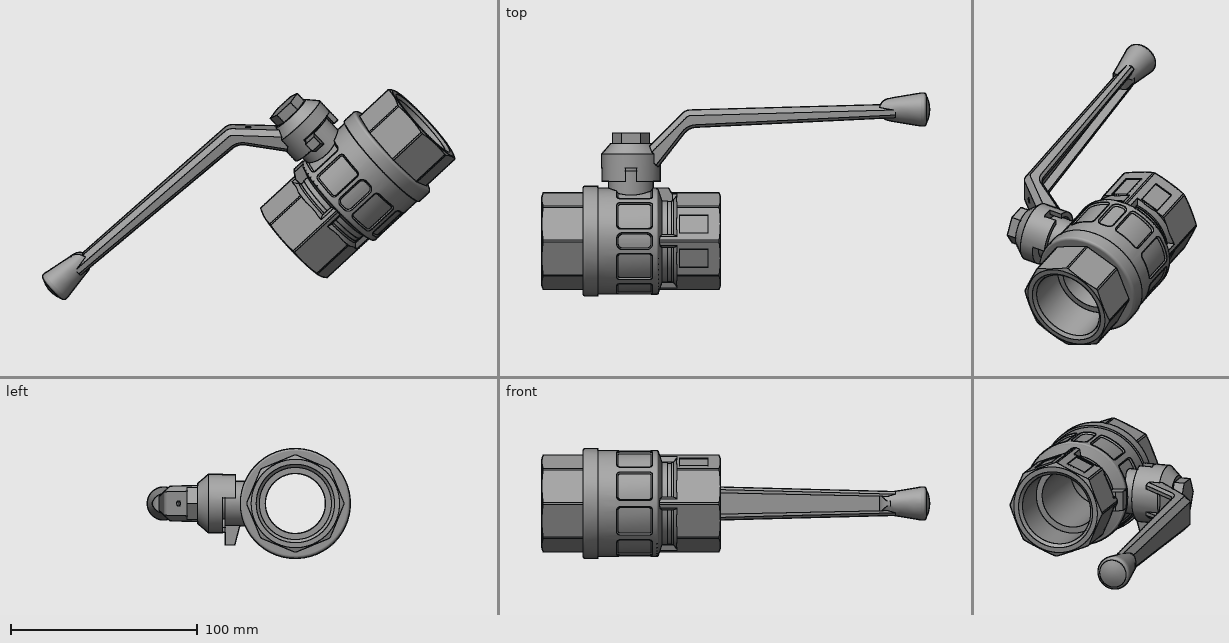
import cadquery as cq
import math


BODY_LENGTH = 95.9
BORE_RADIUS = 16.0
SOCKET_RADIUS = 19.3
SOCKET_DEPTH = 24.3
SOCKET_CHAMFER = 1.7
BODY_SIDES = 8
END_RADIUS = 26.0
OCTAGON_RADIUS = 26.2
END_FACE_RADIUS = 23.7
END_CHAMFER_LENGTH = 0.8
COLLAR_START = 22.0
COLLAR_END = 30.2
COLLAR_RADIUS = 29.5
COLLAR_ROUND = 1.5
BARREL_RADIUS = 28.5
BARREL_END = 62.6
BARREL_ROUND = 1.0
WAIST_RADIUS = 22.3
WAIST_END = 72.5
WAIST_RIB_WIDTH = 4.4
WAIST_RIB_ROOT_WIDTH = 6.9
WAIST_FLOOR_START = 64.5
WAIST_STEP = 67.4
WAIST_STEP_HEIGHT = 0.5
WAIST_RING_START = 69.5
WAIST_RING_END = 70.5
WAIST_END_RADIUS = 24.8

POCKET_START = 40.1
POCKET_END = 59.5
POCKET_DEPTH = 1.0
POCKET_DRAFT = 0.8
POCKET_CORNER = 2.0
WIDE_POCKET_WIDTH = 16.2
WIDE_POCKET_ANGLES = (30, 70, 110, 150)
NARROW_POCKET_WIDTH = 9.2
NARROW_POCKET_CORNER = 3.3
NARROW_POCKET_ANGLES = (0, 180)

PANEL_START = 73.8
PANEL_LENGTH = 15.4
PANEL_WIDTH = 10.5
PANEL_DEPTH = 0.6

STEM_X = 47.8
NECK_RADIUS = 12.0
NECK_TOP = 37.6
NECK_BASE = 22.9
SPINDLE_RADIUS = 8.3
TAB_WIDTH = 6.0
TAB_REACH = 22.3
TAB_ROOT_BOTTOM = 29.7
TAB_TIP_BOTTOM = 32.5
BOSS_TOP = 28.5
BOSS_FLAT_END = 68.0
BOSS_FOOT_END = 70.0
BOSS_FOOT = 25.0
BOSS_BASE = 21.0
BOSS_WIDTH = 10.5

HUB_RADIUS = 15.8
HUB_BOTTOM = 32.0
HUB_SHOULDER = 46.5
HUB_TOP = 52.5
HUB_TOP_RADIUS = 10.8
SKIRT_INNER_RADIUS = 13.0
SKIRT_CEILING = 39.0
NUT_TOP = 58.0
NUT_ACROSS_CORNERS = 20.0

ROOT_BACK = (54.0, 47.2)
ROOT_FRONT = (62.5, 39.7)
BEND_BACK = (77.2, 70.3)
BEND_FRONT = (78.8, 60.7)
TIP_BACK = (189.7, 73.5)
TIP_FRONT = (189.7, 66.1)
LEVER_ROOT_WIDTH = 20.0
LEVER_TIP_WIDTH = 13.0
BACK_BEVEL = 3.1
FRONT_BEVEL = 1.5
BEND_BACK_ROUND = 6.2
BEND_FRONT_ROUND = 8.3
CHANNEL_ROOT_WIDTH = 13.0
CHANNEL_TIP_WIDTH = 7.5
CHANNEL_DEPTH = 5.0
EYE_RADIUS = 1.5
EYE_Y = 62.6
EYE_DEPTH = 1.7

KNOB_AXIS_Y = 70.5
KNOB_NOSE_RADIUS = 6.0
KNOB_NOSE_X = 187.0
KNOB_NECK_RADIUS = 5.2
KNOB_RIM = 203.5
KNOB_RADIUS = 9.0
KNOB_DOME_START = 206.1
KNOB_RIM_ROUND = 1.5
KNOB_END = 208.0


def cylinder_x(start, end, radius):
    return cq.Workplane("YZ", origin=(start, 0, 0)).circle(radius).extrude(end - start)


def block(x_range, y_range, z_range):
    """Axis-aligned box given by its limits."""
    sizes = [high - low for low, high in (x_range, y_range, z_range)]
    corner = (x_range[0], y_range[0], z_range[0])
    return cq.Workplane("XY", origin=corner).box(*sizes, centered=False)


def nearest_to(x, y, z):
    return cq.selectors.NearestToPointSelector((x, y, z))


def make_octagon_bar():
    """Full-length octagon with blunted corners and coned ends."""
    bar = cq.Workplane("YZ").polygon(BODY_SIDES, 2 * OCTAGON_RADIUS).extrude(BODY_LENGTH)
    envelope = (
        cq.Workplane("XY")
        .moveTo(0, 0)
        .lineTo(0, END_FACE_RADIUS)
        .lineTo(END_CHAMFER_LENGTH, END_RADIUS)
        .lineTo(BODY_LENGTH - END_CHAMFER_LENGTH, END_RADIUS)
        .lineTo(BODY_LENGTH, END_FACE_RADIUS)
        .lineTo(BODY_LENGTH, 0)
        .close()
        .revolve(360, (0, 0), (1, 0))
    )
    return bar.intersect(envelope)


def make_waist_rib():
    """Drafted rib along X at the +Z octagon corner, widest at the waist floor."""
    half_root, half_top = WAIST_RIB_ROOT_WIDTH / 2, WAIST_RIB_WIDTH / 2
    outline = [
        (-half_root, 0),
        (-half_root, WAIST_RADIUS),
        (-half_top, END_RADIUS),
        (half_top, END_RADIUS),
        (half_root, WAIST_RADIUS),
        (half_root, 0),
    ]
    rib = cq.Workplane("YZ", origin=(BARREL_END, 0, 0)).polyline(outline).close()
    return rib.extrude(WAIST_END - BARREL_END)


def cut_waist(bar):
    """Turn the octagon down behind the barrel to a stepped groove bridged by four ribs."""
    low_floor = WAIST_RADIUS - WAIST_STEP_HEIGHT
    waste = (
        cq.Workplane("XY")
        .moveTo(BARREL_END, COLLAR_RADIUS)
        .lineTo(BARREL_END, WAIST_RADIUS)
        .lineTo(WAIST_STEP, WAIST_RADIUS)
        .lineTo(WAIST_STEP, low_floor)
        .lineTo(WAIST_RING_START, low_floor)
        .lineTo(WAIST_RING_START, WAIST_RADIUS)
        .lineTo(WAIST_RING_END, WAIST_RADIUS)
        .lineTo(WAIST_END, WAIST_END_RADIUS)
        .lineTo(WAIST_END, COLLAR_RADIUS)
        .close()
        .revolve(360, (0, 0), (1, 0))
    )
    for angle in (0, 90, 180, 270):
        waste = waste.cut(make_waist_rib().rotate((0, 0, 0), (1, 0, 0), angle))
    return bar.cut(waste)


def make_barrel():
    """Collared barrel whose +X end slopes down into the waist."""
    collar = cylinder_x(COLLAR_START, COLLAR_END, COLLAR_RADIUS)
    collar = collar.faces("<X").edges().fillet(COLLAR_ROUND)
    barrel = (
        cq.Workplane("XY")
        .moveTo(COLLAR_END, 0)
        .lineTo(COLLAR_END, BARREL_RADIUS)
        .lineTo(BARREL_END - BARREL_ROUND, BARREL_RADIUS)
        .tangentArcPoint((BARREL_ROUND, -BARREL_ROUND))
        .lineTo(WAIST_FLOOR_START, WAIST_RADIUS)
        .lineTo(WAIST_FLOOR_START, 0)
        .close()
        .revolve(360, (0, 0), (1, 0))
    )
    return collar.union(barrel)


def make_pocket(width, corner, angle):
    """Shallow round-cornered pocket in the barrel surface, turned about the bore axis."""
    floor = BARREL_RADIUS - POCKET_DEPTH
    length = POCKET_END - POCKET_START
    prism = (
        cq.Workplane("XY", origin=(POCKET_START + length / 2, 0, 0))
        .rect(length, width)
        .extrude(COLLAR_RADIUS)
        .edges("|Z")
        .fillet(corner)
    )
    prism = prism.cut(cylinder_x(POCKET_START, POCKET_END, floor))
    floor_center = (POCKET_START + length / 2, 0, floor)
    prism = prism.faces(nearest_to(*floor_center)).edges().chamfer(POCKET_DRAFT)
    return prism.rotate((0, 0, 0), (1, 0, 0), angle)


def cut_pockets(body):
    for angle in NARROW_POCKET_ANGLES:
        body = body.cut(make_pocket(NARROW_POCKET_WIDTH, NARROW_POCKET_CORNER, angle))
    for angle in WIDE_POCKET_ANGLES:
        for side in (-1, 1):
            body = body.cut(make_pocket(WIDE_POCKET_WIDTH, POCKET_CORNER, side * angle))
    return body


def cut_panels(body):
    half_flat_angle = 180 / BODY_SIDES
    apothem = OCTAGON_RADIUS * math.cos(math.radians(half_flat_angle))
    panel = block(
        (PANEL_START, PANEL_START + PANEL_LENGTH),
        (-PANEL_WIDTH / 2, PANEL_WIDTH / 2),
        (apothem - PANEL_DEPTH, COLLAR_RADIUS),
    )
    for side in (-1, 1):
        body = body.cut(panel.rotate((0, 0, 0), (1, 0, 0), side * half_flat_angle))
    return body


def make_neck():
    """Stem neck with the spindle that carries the lever."""
    return (
        cq.Workplane("XY", origin=(STEM_X, 0, 0))
        .moveTo(0, NECK_BASE)
        .lineTo(NECK_RADIUS, NECK_BASE)
        .lineTo(NECK_RADIUS, NECK_TOP)
        .lineTo(SPINDLE_RADIUS, NECK_TOP)
        .lineTo(SPINDLE_RADIUS, HUB_SHOULDER)
        .lineTo(0, HUB_SHOULDER)
        .close()
        .revolve(360, (0, 0), (0, 1))
    )


def make_stop_tab():
    """Tapered tab on the -Z side of the neck that limits the lever travel."""
    return (
        cq.Workplane("YZ", origin=(STEM_X - TAB_WIDTH / 2, 0, 0))
        .moveTo(NECK_TOP, 0)
        .lineTo(NECK_TOP, -TAB_REACH)
        .lineTo(TAB_TIP_BOTTOM, -TAB_REACH)
        .lineTo(TAB_ROOT_BOTTOM, -NECK_RADIUS)
        .lineTo(TAB_ROOT_BOTTOM, 0)
        .close()
        .extrude(TAB_WIDTH)
    )


def make_boss():
    """Sloped boss behind the barrel on the +Y side."""
    return (
        cq.Workplane("XY", origin=(0, 0, -BOSS_WIDTH / 2))
        .moveTo(BARREL_END - BARREL_ROUND, BOSS_BASE)
        .lineTo(BARREL_END - BARREL_ROUND, BOSS_TOP)
        .lineTo(BOSS_FLAT_END, BOSS_TOP)
        .lineTo(BOSS_FOOT_END, BOSS_FOOT)
        .lineTo(BOSS_FOOT_END, BOSS_BASE)
        .close()
        .extrude(BOSS_WIDTH)
    )


def make_bore():
    """Through bore with a chamfered socket at each end."""
    bore = cylinder_x(0, BODY_LENGTH, BORE_RADIUS)
    socket = (
        cq.Workplane("XY")
        .moveTo(0, 0)
        .lineTo(0, SOCKET_RADIUS + SOCKET_CHAMFER)
        .lineTo(SOCKET_CHAMFER, SOCKET_RADIUS)
        .lineTo(SOCKET_DEPTH, SOCKET_RADIUS)
        .lineTo(SOCKET_DEPTH, 0)
        .close()
        .revolve(360, (0, 0), (1, 0))
    )
    far_socket = socket.mirror("YZ").translate((BODY_LENGTH, 0, 0))
    return bore.union(socket).union(far_socket)


def make_hub():
    """Lever hub with a hollow skirt over the neck, notched for the stop tab."""
    hub = (
        cq.Workplane("XY", origin=(STEM_X, 0, 0))
        .moveTo(0, SKIRT_CEILING)
        .lineTo(SKIRT_INNER_RADIUS, SKIRT_CEILING)
        .lineTo(SKIRT_INNER_RADIUS, HUB_BOTTOM)
        .lineTo(HUB_RADIUS, HUB_BOTTOM)
        .lineTo(HUB_RADIUS, HUB_SHOULDER)
        .lineTo(HUB_TOP_RADIUS, HUB_TOP)
        .lineTo(0, HUB_TOP)
        .close()
        .revolve(360, (0, 0), (0, 1))
    )
    half = TAB_WIDTH / 2
    skirt = (HUB_BOTTOM, SKIRT_CEILING)
    notch = block((STEM_X - half, STEM_X + half), skirt, (0, HUB_RADIUS))
    travel = block((STEM_X - HUB_RADIUS, STEM_X + half), skirt, (-HUB_RADIUS, half))
    return hub.cut(notch).cut(travel)


def make_nut():
    nut_plane = cq.Workplane("XZ", origin=(STEM_X, HUB_TOP, 0))
    return nut_plane.polygon(6, NUT_ACROSS_CORNERS).extrude(HUB_TOP - NUT_TOP)


def along(start, end, distance):
    """Point at a distance from start towards end; negative distances lie beyond start."""
    share = distance / math.dist(start, end)
    return tuple(a + (b - a) * share for a, b in zip(start, end))


def bent_plate(back, front, thickness):
    """Plate along Z from the XY points of its two bent sides, each listed root, bend, tip."""
    outline = list(back) + list(reversed(front))
    plate = cq.Workplane("XY", origin=(0, 0, -thickness / 2)).polyline(outline).close()
    return plate.extrude(thickness)


def taper(root_width, tip_width):
    """Wedge, symmetric about the XY plane, that narrows from lever root to tip."""
    root_x, tip_x = ROOT_BACK[0], TIP_BACK[0]
    outline = [
        (root_x, root_width / 2),
        (tip_x, tip_width / 2),
        (tip_x, -tip_width / 2),
        (root_x, -root_width / 2),
    ]
    return cq.Workplane("XZ").polyline(outline).close().extrude(-2 * KNOB_AXIS_Y)


def make_lever():
    """Bent, tapered lever with bevelled edges and a channel along its -Y side."""
    back = (ROOT_BACK, BEND_BACK, TIP_BACK)
    front = (ROOT_FRONT, BEND_FRONT, TIP_FRONT)
    lever = bent_plate(back, front, LEVER_ROOT_WIDTH)
    lever = lever.edges(nearest_to(*BEND_BACK, 0)).fillet(BEND_BACK_ROUND)
    lever = lever.edges(nearest_to(*BEND_FRONT, 0)).fillet(BEND_FRONT_ROUND)
    lever = lever.intersect(taper(LEVER_ROOT_WIDTH, LEVER_TIP_WIDTH))
    for (start, bend), bevel in ((back[:2], BACK_BEVEL), (front[:2], FRONT_BEVEL)):
        middle = along(start, bend, math.dist(start, bend) / 2)
        for side in (-1, 1):
            lever = lever.edges(nearest_to(*middle, side * LEVER_ROOT_WIDTH / 2)).chamfer(bevel)

    floor = [along(near, far, CHANNEL_DEPTH) for near, far in zip(front, back)]
    mouth = [along(near, far, -CHANNEL_DEPTH) for near, far in zip(front, back)]
    channel = bent_plate(floor, mouth, CHANNEL_ROOT_WIDTH)
    channel = channel.edges(nearest_to(*floor[1], 0)).fillet(BEND_FRONT_ROUND + CHANNEL_DEPTH)
    channel = channel.intersect(taper(CHANNEL_ROOT_WIDTH, CHANNEL_TIP_WIDTH))
    return lever.cut(channel)


def make_eye():
    """Small blind hole in the back of the sloped part of the lever."""
    run = BEND_BACK[0] - ROOT_BACK[0]
    rise = BEND_BACK[1] - ROOT_BACK[1]
    eye_x = ROOT_BACK[0] + (EYE_Y - ROOT_BACK[1]) * run / rise
    back_plane = cq.Plane(origin=(eye_x, EYE_Y, 0), xDir=(0, 0, 1), normal=(rise, -run, 0))
    return cq.Workplane(back_plane).circle(EYE_RADIUS).extrude(EYE_DEPTH)


def make_knob():
    """Flared knob with a nose rounded about Z and a domed end."""
    start = KNOB_NOSE_X - KNOB_NOSE_RADIUS
    dome_height = KNOB_END - KNOB_DOME_START
    dome_radius = KNOB_RADIUS - KNOB_RIM_ROUND
    dome_sphere = (dome_radius**2 + dome_height**2) / (2 * dome_height)
    flare = (
        cq.Workplane("XY", origin=(0, KNOB_AXIS_Y, 0))
        .moveTo(start, 0)
        .lineTo(start, KNOB_NECK_RADIUS)
        .lineTo(KNOB_RIM, KNOB_RADIUS)
        .lineTo(KNOB_DOME_START - KNOB_RIM_ROUND, KNOB_RADIUS)
        .tangentArcPoint((KNOB_RIM_ROUND, -KNOB_RIM_ROUND))
        .radiusArc((KNOB_END, 0), dome_sphere)
        .close()
        .revolve(360, (0, 0), (1, 0))
    )
    nose_origin = (KNOB_NOSE_X, KNOB_AXIS_Y, -KNOB_RADIUS)
    nose = cq.Workplane("XY", origin=nose_origin).circle(KNOB_NOSE_RADIUS).extrude(2 * KNOB_RADIUS)
    ahead_of_nose = block(
        (start, KNOB_NOSE_X),
        (KNOB_AXIS_Y - KNOB_RADIUS, KNOB_AXIS_Y + KNOB_RADIUS),
        (-KNOB_RADIUS, KNOB_RADIUS),
    )
    return flare.cut(ahead_of_nose.cut(nose))


body = cut_waist(make_octagon_bar()).union(make_barrel())
body = cut_panels(cut_pockets(body))
body = body.union(make_neck()).union(make_stop_tab()).union(make_boss()).cut(make_bore())

handle = make_hub().union(make_nut()).union(make_lever().cut(make_eye())).union(make_knob())

result = body.union(handle)